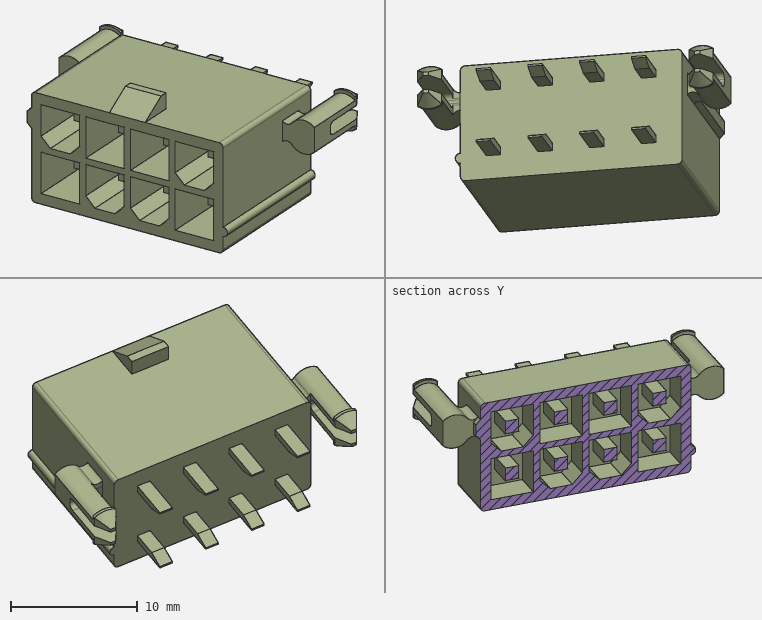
import cadquery as cq
import math


HOUSING_WIDTH = 18.0
HOUSING_LENGTH = 12.8
HOUSING_HEIGHT = 9.6
CORNER_RADIUS = 0.38
SIDE_FACE_X = HOUSING_WIDTH / 2
MID_HEIGHT = HOUSING_HEIGHT / 2

COLUMNS = 4
ROWS = 2
PITCH = 4.2
ROW_PITCH = 4.15
CAVITY_SIDE = 3.6
CAVITY_CHAMFER = 0.86
CAVITY_DEPTH = 10.4
KEYED_COLUMNS = [(1, 2), (0, 3)]

PIN_SIDE = 1.15
PIN_RAISE = 0.2
PIN_RECESS = 2.88
TAIL_PITCH = 5.47
TAIL_THICKNESS = 0.62
TAIL_LENGTH = 3.5
TAIL_TAPER_LENGTH = 1.27
TAIL_TIP_THICKNESS = 0.15

LATCH_WIDTH = 3.35
LATCH_LENGTH = 3.05
LATCH_HEIGHT = 1.4
LATCH_FLAT = 0.72

OVERALL_WIDTH = 24.0
PEG_Z = 7.3
PEG_START = 8.65
PEG_RADIUS = 1.46
PEG_WIDTH = 1.97
PEG_X = (OVERALL_WIDTH - PEG_WIDTH) / 2
HEAD_RADIUS = 1.75
HEAD_START = 14.57
CONE_START = 14.8
PEG_END = 16.08
TIP_RADIUS = 0.9
TIP_WIDTH = 0.45
SLOT_HEIGHT = 1.18
SLOT_START = 10.97
SLOT_CORNER_RADIUS = 0.45

NECK_END = 11.0
NECK_HEIGHT = 1.46
NECK_RADIUS = 0.62

RIB_HEIGHT = 1.82
RIB_PROTRUSION = 0.4
BEAD_RADIUS = 0.4
BEAD_Z = 1.92


def block(width, length, height, x, y, z):
    """Box centred on x and z that starts at y and runs towards +Y."""
    return cq.Workplane("XY").box(width, length, height, centered=(True, False, True)).translate((x, y, z))


def front_plane(y):
    """Workplane parallel to the mating face; its extrusions run towards +Y and its local x is -X."""
    return cq.Workplane(cq.Plane(origin=(0, y, 0), xDir=(-1, 0, 0), normal=(0, 1, 0)))


def make_housing():
    housing = block(HOUSING_WIDTH, HOUSING_LENGTH, HOUSING_HEIGHT, 0, 0, MID_HEIGHT)
    return housing.edges("|Y").fillet(CORNER_RADIUS)


def make_latch():
    """Ramp that rises from the mating face to a short flat crest and is rooted in the housing."""
    profile = [
        (0, HOUSING_HEIGHT),
        (LATCH_LENGTH - LATCH_FLAT, HOUSING_HEIGHT + LATCH_HEIGHT),
        (LATCH_LENGTH, HOUSING_HEIGHT + LATCH_HEIGHT),
        (LATCH_LENGTH, HOUSING_HEIGHT - CORNER_RADIUS),
        (0, HOUSING_HEIGHT - CORNER_RADIUS),
    ]
    return cq.Workplane("YZ").polyline(profile).close().extrude(LATCH_WIDTH / 2, both=True)


def make_cavity(x, z, keyed):
    cavity = block(CAVITY_SIDE, CAVITY_DEPTH, CAVITY_SIDE, x, 0, z)
    if keyed:
        cavity = cavity.edges("|Y and <Z").chamfer(CAVITY_CHAMFER)
    return cavity


def make_pin(x, z):
    return block(PIN_SIDE, HOUSING_LENGTH - PIN_RECESS, PIN_SIDE, x, PIN_RECESS, z)


def make_tail(x, outward):
    """Solder tail, flat on the side facing outward (+1 up, -1 down) and tapered on the other side."""
    outer_z = MID_HEIGHT + PIN_RAISE + outward * (TAIL_PITCH + TAIL_THICKNESS) / 2
    inner_z = outer_z - outward * TAIL_THICKNESS
    tip_y = HOUSING_LENGTH + TAIL_LENGTH
    profile = [
        (CAVITY_DEPTH, outer_z),
        (tip_y, outer_z),
        (tip_y, outer_z - outward * TAIL_TIP_THICKNESS),
        (tip_y - TAIL_TAPER_LENGTH, inner_z),
        (CAVITY_DEPTH, inner_z),
    ]
    tail = cq.Workplane("YZ").polyline(profile).close().extrude(PIN_SIDE / 2, both=True)
    return tail.translate((x, 0, 0))


def make_peg():
    """Slotted, barbed peg on the +X side, flattened across X and joined to the housing by a neck."""
    profile = [
        (0, PEG_START),
        (PEG_RADIUS, PEG_START),
        (PEG_RADIUS, HEAD_START),
        (HEAD_RADIUS, HEAD_START),
        (HEAD_RADIUS, CONE_START),
        (TIP_RADIUS, PEG_END),
        (0, PEG_END),
    ]
    round_peg = cq.Workplane("XY").polyline(profile).close().revolve(360, (0, 0, 0), (0, 1, 0))

    half_width = PEG_WIDTH / 2
    plan = [
        (half_width, PEG_START),
        (half_width, CONE_START),
        (TIP_WIDTH / 2, PEG_END),
        (-TIP_WIDTH / 2, PEG_END),
        (-half_width, CONE_START),
        (-half_width, NECK_END),
        (-PEG_RADIUS, NECK_END),
        (-PEG_RADIUS, PEG_START),
    ]
    flattened = cq.Workplane("XY").polyline(plan).close().extrude(HEAD_RADIUS, both=True)

    slot = block(OVERALL_WIDTH, PEG_END - SLOT_START, SLOT_HEIGHT, 0, SLOT_START, 0)
    slot = slot.edges("|X and <Y").fillet(SLOT_CORNER_RADIUS)
    peg = round_peg.intersect(flattened).translate((PEG_X, 0, PEG_Z))
    return peg.union(make_neck()).cut(slot.translate((0, 0, PEG_Z)))


def make_neck():
    """Bridge from peg to housing, hollowed above and below by rounds tangent to the peg."""
    round_z = NECK_HEIGHT / 2 + NECK_RADIUS
    round_distance = math.sqrt((PEG_RADIUS + NECK_RADIUS) ** 2 - round_z ** 2)
    tangent_share = PEG_RADIUS / (PEG_RADIUS + NECK_RADIUS)
    start_x = PEG_X - round_distance * tangent_share
    start_z = round_z * tangent_share
    middle_x = PEG_X - round_distance
    middle_z = NECK_HEIGHT / 2
    end_x = SIDE_FACE_X
    end_z = round_z - math.sqrt(NECK_RADIUS ** 2 - (middle_x - end_x) ** 2)
    outline = (
        front_plane(PEG_START)
        .moveTo(-start_x, start_z)
        .threePointArc((-middle_x, middle_z), (-end_x, end_z))
        .lineTo(-end_x, -end_z)
        .threePointArc((-middle_x, -middle_z), (-start_x, -start_z))
        .close()
    )
    return outline.extrude(NECK_END - PEG_START).translate((0, 0, PEG_Z))


def make_rib():
    """Sloped-sided rib on the -X face, from the mating face to the peg."""
    outer_half = RIB_HEIGHT / 2 - RIB_PROTRUSION
    profile = [
        (SIDE_FACE_X, PEG_Z + RIB_HEIGHT / 2),
        (SIDE_FACE_X + RIB_PROTRUSION, PEG_Z + outer_half),
        (SIDE_FACE_X + RIB_PROTRUSION, PEG_Z - outer_half),
        (SIDE_FACE_X, PEG_Z - RIB_HEIGHT / 2),
    ]
    return front_plane(0).polyline(profile).close().extrude(PEG_START)


def make_bead():
    """Half-round bead along the whole +X face."""
    return front_plane(0).center(-SIDE_FACE_X, BEAD_Z).circle(BEAD_RADIUS).extrude(HOUSING_LENGTH)


right_peg = make_peg()
result = make_housing().union(make_latch()).union(make_rib()).union(make_bead())
result = result.union(right_peg).union(right_peg.mirror("YZ"))

for row in range(ROWS):
    cavity_z = MID_HEIGHT + (row - (ROWS - 1) / 2) * ROW_PITCH
    outward_side = 1 if row == ROWS - 1 else -1
    for column in range(COLUMNS):
        cavity_x = (column - (COLUMNS - 1) / 2) * PITCH
        result = result.cut(make_cavity(cavity_x, cavity_z, column in KEYED_COLUMNS[row]))
        result = result.union(make_pin(cavity_x, cavity_z + PIN_RAISE))
        result = result.union(make_tail(cavity_x, outward_side))